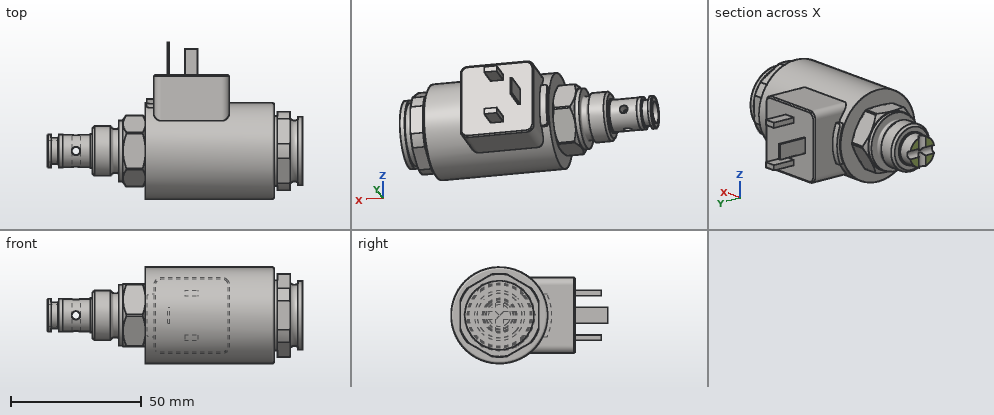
import cadquery as cq
import math

overall_length = 97.55
overall_depth = 60.0

tip_radius = 6.3
tip_chamfer = 0.4
bore_radius = 4.2
bore_depth = 3.9
seal_groove_start = 1.5
seal_groove_end = 4.3
seal_groove_radius = 5.1
seal_groove_root_chamfer = 0.3
nose_land_end = 5.9
nose_radius = 6.2
nose_end = 16.5
backup_ring_radius = 6.6
port_x = 10.9
port_radius = 1.6

thread_start = 17.1
thread_straight_end = 24.0
thread_radius = 9.6
thread_chamfer = 1.0
thread_runout_angle = math.radians(45)
relief_radius = 8.5
relief_blend_radius = 0.9
relief_end_fillet = 0.5
shoulder_start = 27.2
shoulder_radius = 11.7

hex_start = 28.9
hex_across_flats = 24.0
hex_corner_radius = 13.7
hex_front_chamfer_radius = 11.9
hex_front_chamfer_length = 1.3
hex_back_chamfer_radius = 12.2
hex_back_chamfer_length = 0.9

body_start = 37.4
body_end = 86.7
body_diameter = 37.0
body_radius = body_diameter / 2
body_fillet = 1.0

collar_radius = 13.5
nut_start = 87.9
nut_end = 92.9
nut_across_flats = 30.0
nut_corner_radius = 16.0
nut_chamfer = 0.24
neck_radius = 11.7
neck_middle = 94.4
neck_groove_radius = 2.1
cap_start = 95.7
cap_radius = 13.2

block_start = 40.6
block_width = 29.0
block_top = 29.1
block_corner_radius = 2.9
block_edge_chamfer = 0.6
ground_pin_x = 46.2
ground_pin_size = (0.8, 6.2)
ground_pin_top = overall_depth - body_radius
power_pin_x = 55.0
power_pin_size = (4.9, 2.1)
power_pin_top = 39.0
power_pin_spacing = 17.1

key_start = 37.9
key_radius = 19.9
key_half_width = 8.2
key_corner_radius = 1.0


def cylinder(start, end, radius):
    return cq.Workplane("YZ", origin=(start, 0, 0)).circle(radius).extrude(end - start)


def revolve_profile(profile):
    return profile.close().revolve(360, (0, 0, 0), (1, 0, 0))


def hexagon(start, end, across_flats, flats_on_y):
    turn = 30 if flats_on_y else 0
    prism = cq.Workplane("YZ", origin=(start, 0, 0)).polygon(6, across_flats / math.cos(math.pi / 6))
    return prism.extrude(end - start).rotate((0, 0, 0), (1, 0, 0), turn)


def make_cartridge():
    thread_root = thread_radius - thread_chamfer
    cone_foot = thread_straight_end + (thread_radius - relief_radius) / math.tan(thread_runout_angle)
    blend_tangent = relief_blend_radius * math.tan(thread_runout_angle / 2)
    blend_rise = blend_tangent * math.sin(thread_runout_angle)
    blend_start = cone_foot - blend_tangent * math.cos(thread_runout_angle)
    blend_end = cone_foot + blend_tangent
    outline = (
        cq.Workplane("XY")
        .moveTo(0, 0)
        .lineTo(0, tip_radius - tip_chamfer)
        .lineTo(tip_chamfer, tip_radius)
        .lineTo(seal_groove_start, tip_radius)
        .lineTo(seal_groove_start, seal_groove_radius)
        .lineTo(seal_groove_end - seal_groove_root_chamfer, seal_groove_radius)
        .lineTo(seal_groove_end, seal_groove_radius + seal_groove_root_chamfer)
        .lineTo(seal_groove_end, tip_radius)
        .lineTo(nose_land_end, tip_radius)
        .lineTo(nose_land_end, nose_radius)
        .lineTo(nose_end, nose_radius)
        .lineTo(nose_end, backup_ring_radius)
        .lineTo(thread_start, backup_ring_radius)
        .lineTo(thread_start, thread_root)
        .lineTo(thread_start + thread_chamfer, thread_radius)
        .lineTo(thread_straight_end, thread_radius)
        .lineTo(blend_start, relief_radius + blend_rise)
        .radiusArc((blend_end, relief_radius), -relief_blend_radius)
        .lineTo(shoulder_start - relief_end_fillet, relief_radius)
        .radiusArc((shoulder_start, relief_radius + relief_end_fillet), -relief_end_fillet)
        .lineTo(shoulder_start, shoulder_radius)
        .lineTo(hex_start, shoulder_radius)
        .lineTo(hex_start, 0)
    )
    return revolve_profile(outline)


def make_cartridge_hex():
    envelope = (
        cq.Workplane("XY")
        .moveTo(hex_start, 0)
        .lineTo(hex_start, hex_front_chamfer_radius)
        .lineTo(hex_start + hex_front_chamfer_length, hex_corner_radius)
        .lineTo(body_start - hex_back_chamfer_length, hex_corner_radius)
        .lineTo(body_start, hex_back_chamfer_radius)
        .lineTo(body_start, 0)
    )
    prism = hexagon(hex_start, body_start, hex_across_flats, flats_on_y=False)
    return prism.intersect(revolve_profile(envelope))


def make_body():
    return cylinder(body_start, body_end, body_radius).faces(">X").fillet(body_fillet)


def make_nut():
    envelope = cylinder(nut_start, nut_end, nut_corner_radius).faces(">X").chamfer(nut_chamfer)
    return hexagon(nut_start, nut_end, nut_across_flats, flats_on_y=True).intersect(envelope)


def neck_radius_at(x):
    drop = math.sqrt(neck_groove_radius**2 - (x - neck_middle) ** 2)
    return neck_radius + neck_groove_radius - drop


def make_end_cap():
    outline = (
        cq.Workplane("XY")
        .moveTo(nut_end, 0)
        .lineTo(nut_end, neck_radius_at(nut_end))
        .threePointArc((neck_middle, neck_radius), (cap_start, neck_radius_at(cap_start)))
        .lineTo(cap_start, cap_radius)
        .lineTo(overall_length, cap_radius)
        .lineTo(overall_length, 0)
    )
    return revolve_profile(outline)


def box_along_y(center_x, center_z, size, top):
    size_x, size_z = size
    box = cq.Workplane("XY").box(size_x, top, size_z, centered=(True, False, True))
    return box.translate((center_x, 0, center_z))


def make_connector():
    block_x = block_start + block_width / 2
    block = box_along_y(block_x, 0, (block_width, block_width), block_top)
    block = block.edges("|Y").fillet(block_corner_radius).faces(">Y").chamfer(block_edge_chamfer)
    connector = block.union(box_along_y(ground_pin_x, 0, ground_pin_size, ground_pin_top))
    for side in (-1, 1):
        pin = box_along_y(power_pin_x, side * power_pin_spacing / 2, power_pin_size, power_pin_top)
        connector = connector.union(pin)
    return connector


def make_key():
    key_end = block_start + block_corner_radius
    length = key_end - key_start
    bar = box_along_y((key_start + key_end) / 2, 0, (length, 2 * key_half_width), key_radius)
    bar = bar.edges("|Y and <X").fillet(key_corner_radius)
    return bar.intersect(cylinder(key_start, key_end, key_radius))


def cut_ports(part):
    part = part.cut(cylinder(0, bore_depth, bore_radius))
    for plane in ("XY", "XZ"):
        port = cq.Workplane(plane).center(port_x, 0).circle(port_radius).extrude(tip_radius, both=True)
        part = part.cut(port)
    return part


sections = [
    make_cartridge_hex(),
    make_body(),
    cylinder(body_end, nut_start, collar_radius),
    make_nut(),
    make_end_cap(),
    make_connector(),
    make_key(),
]
result = make_cartridge()
for section in sections:
    result = result.union(section)
result = cut_ports(result)